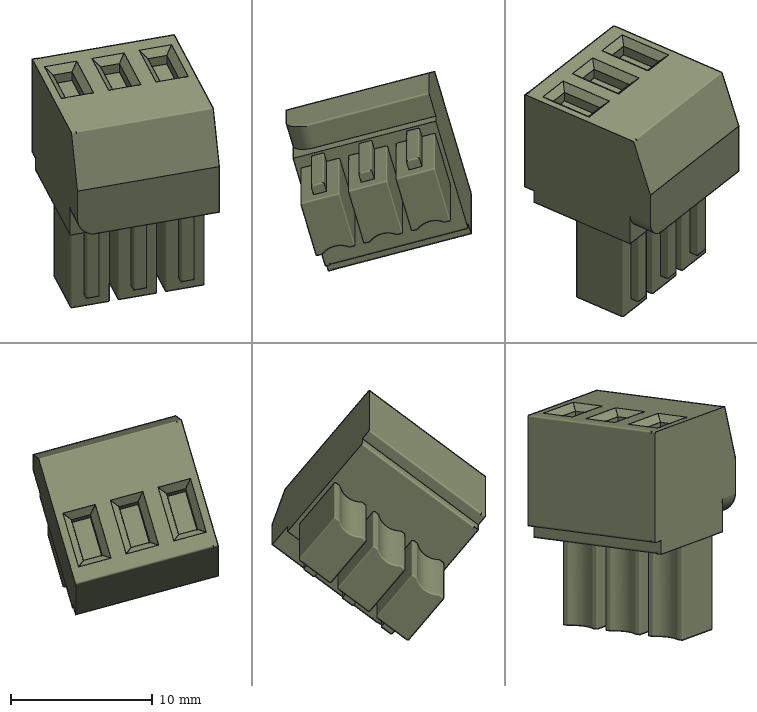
import cadquery as cq
import math

LENGTH = 11.1
WIDTH = 10.5
HEIGHT = 16.0

HOUSING_BOTTOM = 6.98
SHOULDER_Z = 7.97
STEP_LEFT = 0.82
STEP_RIGHT = 9.31
SLOPE_TOP_X = 9.62
SLOPE_END_Z = 11.97
EDGE_RADIUS = 0.13

COVER_THICKNESS = 0.35
COVER_EDGE_RADIUS = 0.08

NOSE_RADIUS = 1.6
NOSE_TOP_Z = 9.36

POLE_COUNT = 3
POLE_PITCH = 3.5

WINDOW_LEFT = 1.22
WINDOW_LENGTH = 4.1
WINDOW_WIDTH = 2.38
FUNNEL_DEPTH = 0.5
FUNNEL_ANGLE = 45
WINDOW_DEPTH = 1.23

PLUG_LEFT = 4.3
PLUG_LENGTH = 4.15
PLUG_WIDTH = 2.88
PLUG_EDGE_RADIUS = 0.11
GROOVE_WIDTH = 2.0
GROOVE_DEPTH = 0.35
GROOVE_LIP_RADIUS = 0.16
OVERLAP = 0.16

KEY_PROJECTION = 0.69
KEY_WIDTH = 0.96
KEY_BOTTOM = 1.1
KEY_EDGE_RADIUS = 0.11

POLE_POSITIONS = [(i - (POLE_COUNT - 1) / 2) * POLE_PITCH for i in range(POLE_COUNT)]
PLUG_RIGHT = PLUG_LEFT + PLUG_LENGTH


def housing_slice(y_start, y_end):
    """Housing outline extruded along Y between two positions."""
    outline = [
        (0, SHOULDER_Z),
        (STEP_LEFT, SHOULDER_Z),
        (STEP_LEFT, HOUSING_BOTTOM),
        (STEP_RIGHT, HOUSING_BOTTOM),
        (STEP_RIGHT, SHOULDER_Z),
        (LENGTH, SHOULDER_Z),
        (LENGTH, SLOPE_END_Z),
        (SLOPE_TOP_X, HEIGHT),
        (0, HEIGHT),
    ]
    plane = cq.Workplane("XZ", origin=(0, y_start, 0))
    return plane.polyline(outline).close().extrude(y_start - y_end)


def round_edges_along_y(body, radius, corners):
    """Fillet the Y-direction edges that pass through the given (x, z) corners."""
    for x, z in corners:
        corner = cq.selectors.NearestToPointSelector((x, body.val().Center().y, z))
        body = body.edges("|Y").edges(corner).fillet(radius)
    return body


def round_nose(body):
    """Round the cover-side lower edge of the +X shoulder."""
    front = -WIDTH / 2
    centre_z = SHOULDER_Z + NOSE_RADIUS
    centre_y = front + math.sqrt(NOSE_RADIUS**2 - (centre_z - NOSE_TOP_Z) ** 2)
    waste = (
        cq.Workplane("YZ", origin=(STEP_RIGHT, 0, 0))
        .moveTo(front, SHOULDER_Z)
        .lineTo(front, NOSE_TOP_Z)
        .radiusArc((centre_y, SHOULDER_Z), -NOSE_RADIUS)
        .close()
        .extrude(LENGTH - STEP_RIGHT)
    )
    return body.cut(waste)


def housing():
    """Stepped housing with a thin end cover on the -Y side."""
    cover_back = -WIDTH / 2 + COVER_THICKNESS
    outer_corners = [(0, HEIGHT), (0, SHOULDER_Z), (SLOPE_TOP_X, HEIGHT), (LENGTH, SHOULDER_Z)]
    core = housing_slice(cover_back, WIDTH / 2)
    core = round_edges_along_y(core, EDGE_RADIUS, outer_corners + [(STEP_LEFT, HOUSING_BOTTOM)])
    cover = housing_slice(-WIDTH / 2, cover_back)
    cover = round_edges_along_y(cover, COVER_EDGE_RADIUS, outer_corners)
    return round_nose(core.union(cover))


def window(y):
    """Funnel-shaped window leading into a straight-walled pocket."""
    mouth = cq.Workplane("XY", origin=(WINDOW_LEFT + WINDOW_LENGTH / 2, y, HEIGHT))
    pocket_length = WINDOW_LENGTH - 2 * FUNNEL_DEPTH
    pocket_width = WINDOW_WIDTH - 2 * FUNNEL_DEPTH
    funnel = mouth.rect(WINDOW_LENGTH, WINDOW_WIDTH).extrude(-FUNNEL_DEPTH, taper=FUNNEL_ANGLE)
    pocket = mouth.rect(pocket_length, pocket_width).extrude(-WINDOW_DEPTH)
    return funnel.union(pocket)


def plug(y):
    """Rounded plug with a hollow -X face and a keying rib on its +X face."""
    top = HOUSING_BOTTOM + OVERLAP
    half_width = PLUG_WIDTH / 2
    half_groove = GROOVE_WIDTH / 2
    body = (
        cq.Workplane("XY", origin=(PLUG_LEFT, y, 0))
        .moveTo(0, half_groove)
        .threePointArc((GROOVE_DEPTH, 0), (0, -half_groove))
        .lineTo(0, -half_width)
        .lineTo(PLUG_LENGTH, -half_width)
        .lineTo(PLUG_LENGTH, half_width)
        .lineTo(0, half_width)
        .close()
        .extrude(top)
    )
    for edge_x, edge_y, radius in (
        (PLUG_LEFT, half_groove, GROOVE_LIP_RADIUS),
        (PLUG_LEFT, half_width, PLUG_EDGE_RADIUS),
        (PLUG_RIGHT, half_width, PLUG_EDGE_RADIUS),
    ):
        for side in (-1, 1):
            corner = cq.selectors.NearestToPointSelector((edge_x, y + side * edge_y, top / 2))
            body = body.edges("|Z").edges(corner).fillet(radius)
    body = body.faces("<Z").edges().fillet(PLUG_EDGE_RADIUS)
    key = (
        cq.Workplane("XY", origin=(PLUG_RIGHT - OVERLAP, y, KEY_BOTTOM))
        .box(KEY_PROJECTION + OVERLAP, KEY_WIDTH, top - KEY_BOTTOM, centered=(False, True, False))
        .edges(">X and (|Z or <Z)")
        .fillet(KEY_EDGE_RADIUS)
    )
    return body.union(key)


result = housing()
for pole_y in POLE_POSITIONS:
    result = result.cut(window(pole_y))
    result = result.union(plug(pole_y))